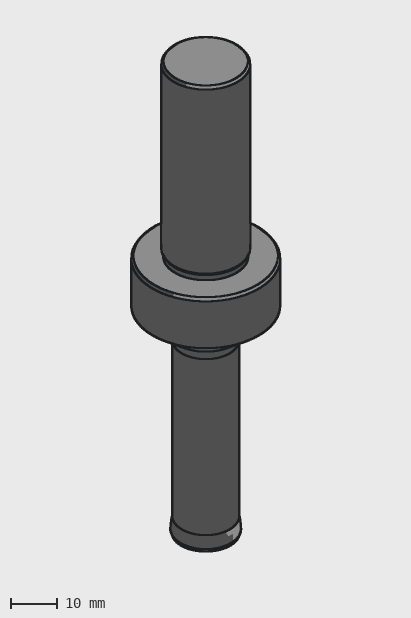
import cadquery as cq
total_length = 123.2
shank_bottom = 74.5
neck_top = 73.9
collar_top = 72.5
collar_bottom = 59.6
taper_bottom = 53.3
stem_top = 50.6
tip_top = 4.8
lip_bottom = 3.3
rim_top = 1.5
dome_rim = 0.6

shank_radius = 19.0 / 2
neck_radius = 18.2 / 2
collar_radius = 31.8 / 2
taper_end_radius = 16.5 / 2
stem_radius = 14.3 / 2
lip_radius = 7.4
tip_radius = 15.1 / 2
dome_rim_radius = 7.3

lip_bulge = 0.02
throat_hollow = 0.1

break_height = 0.7
break_width = 0.5


def turn(profile):
    """Revolve a closed half profile once around the Z axis."""
    return profile.close().revolve(360, (0, 0, 0), (0, 1, 0))


def make_arbor():
    """Shank, neck, collar, tapered shoulder and stem, turned as one solid."""
    profile = (
        cq.Workplane("XZ")
        .moveTo(0, tip_top)
        .lineTo(stem_radius, tip_top)
        .lineTo(stem_radius, stem_top)
        .sagittaArc((taper_end_radius, taper_bottom), -throat_hollow)
        .lineTo(collar_radius, collar_bottom)
        .lineTo(collar_radius, collar_top - break_height)
        .lineTo(collar_radius - break_width, collar_top)
        .lineTo(neck_radius, collar_top)
        .lineTo(neck_radius, neck_top)
        .lineTo(shank_radius, shank_bottom)
        .lineTo(shank_radius, total_length - break_height)
        .lineTo(shank_radius - break_width, total_length)
        .lineTo(0, total_length)
    )
    return turn(profile)


def make_tip():
    """Slightly wider cap on the end of the stem, with a shallow domed underside."""
    dome_sphere_radius = (dome_rim_radius**2 + dome_rim**2) / (2 * dome_rim)
    profile = (
        cq.Workplane("XZ")
        .moveTo(0, 0)
        .radiusArc((dome_rim_radius, dome_rim), -dome_sphere_radius)
        .lineTo(tip_radius, rim_top)
        .lineTo(lip_radius, lip_bottom)
        .sagittaArc((stem_radius, tip_top), -lip_bulge)
        .lineTo(0, tip_top)
    )
    return turn(profile)


arbor = make_arbor()
tip = make_tip()
result = cq.Compound.makeCompound([arbor.val(), tip.val()])